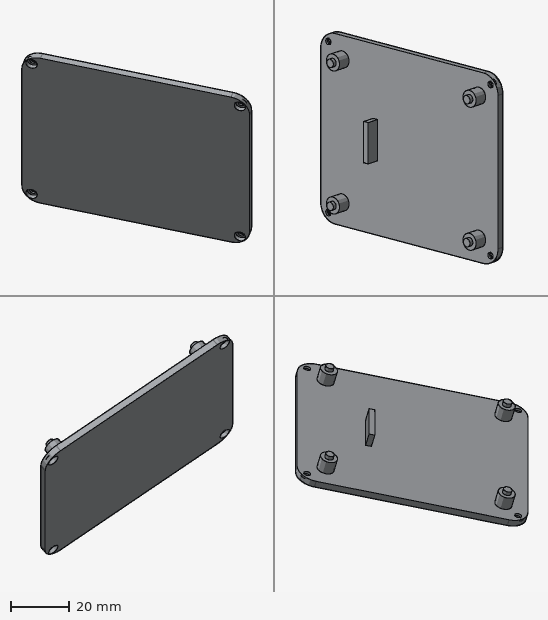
import cadquery as cq

plate_width = 81.5
plate_height = 68.5
plate_thickness = 2.5
corner_radius = 6.7

screw_inset = 3.5
screw_hole_diameter = 2.3
counterbore_diameter = 4.0
counterbore_depth = 1.6

total_depth = 8.9
post_diameter = 6.0
post_height = 4.9
pin_diameter = 3.0
pin_height = total_depth - plate_thickness - post_height
left_post_x = -32.0
right_post_x = 30.7
post_z = 25.7

rib_x = 15.6
rib_thickness = 2.0
rib_length = 14.8


def back_plane(y):
    """XZ plane at depth y, with its normal pointing to the back (+Y)."""
    return cq.Workplane(cq.Plane(origin=(0, y, 0), xDir=(-1, 0, 0), normal=(0, 1, 0)))


def cylinders(points, diameter, start_y, length):
    """Equal cylinders along +Y at the given (x, z) points."""
    mirrored_points = [(-x, z) for x, z in points]
    return back_plane(start_y).pushPoints(mirrored_points).circle(diameter / 2).extrude(length)


def make_plate():
    plate = back_plane(0).rect(plate_width, plate_height).extrude(plate_thickness)
    return plate.edges("|Y").fillet(corner_radius)


def cut_screw_holes(body):
    screw_x = plate_width / 2 - screw_inset
    screw_z = plate_height / 2 - screw_inset
    points = [(x, z) for x in (-screw_x, screw_x) for z in (-screw_z, screw_z)]
    body = body.cut(cylinders(points, screw_hole_diameter, 0, plate_thickness))
    return body.cut(cylinders(points, counterbore_diameter, 0, counterbore_depth))


def add_posts(body):
    points = [(x, z) for x in (left_post_x, right_post_x) for z in (-post_z, post_z)]
    post_top = plate_thickness + post_height
    body = body.union(cylinders(points, post_diameter, plate_thickness, post_height))
    return body.union(cylinders(points, pin_diameter, post_top, pin_height))


def add_rib(body):
    rib = back_plane(plate_thickness).center(-rib_x, 0).rect(rib_thickness, rib_length)
    return body.union(rib.extrude(post_height))


result = add_rib(add_posts(cut_screw_holes(make_plate())))